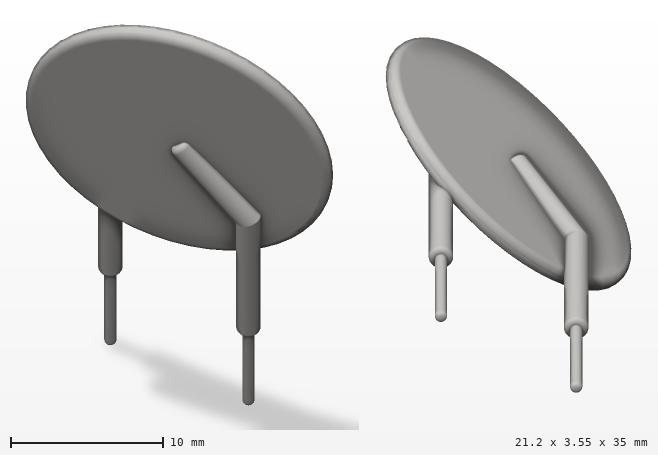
import cadquery as cq

disc_diameter = 21.2
disc_thickness = 1.2
disc_edge_radius = 0.52

overall_height = 35.0
overall_depth = 3.55
sleeve_diameter = 1.6
wire_diameter = 0.8
lead_offset_x = 5.1
lead_offset_y = (overall_depth - sleeve_diameter) / 2
sleeve_top_x = 0.1
sleeve_top_y = 0.4
bend_z = -5.25
sleeve_bottom_z = -16.8
wire_bottom_z = disc_diameter / 2 - overall_height
sleeve_end_radius = 0.35
wire_tip_radius = 0.3


def make_disc():
    """Flat disc with rounded rims."""
    disc = cq.Workplane("XZ").circle(disc_diameter / 2).extrude(disc_thickness / 2, both=True)
    return disc.edges("%CIRCLE").fillet(disc_edge_radius)


def make_sleeve():
    """Vertical sleeve with a mitred bend, then a sloping run to near the disc centre."""
    lower_end = cq.Vector(lead_offset_x, -lead_offset_y, sleeve_bottom_z)
    bend = cq.Vector(lead_offset_x, -lead_offset_y, bend_z)
    upper_end = cq.Vector(sleeve_top_x, -sleeve_top_y, 0)
    path = cq.Workplane("XY").polyline([lower_end, bend, upper_end])
    profile = cq.Workplane("XY", origin=lower_end.toTuple()).circle(sleeve_diameter / 2)
    sleeve = profile.sweep(path, transition="right")
    sleeve = sleeve.faces("<Z").edges().fillet(sleeve_end_radius)
    upper_rim = sleeve.faces(cq.selectors.NearestToPointSelector(upper_end.toTuple())).edges()
    return upper_rim.fillet(sleeve_end_radius)


def make_wire():
    """Straight bare wire with a rounded tip."""
    wire = (
        cq.Workplane("XY", origin=(lead_offset_x, -lead_offset_y, wire_bottom_z))
        .circle(wire_diameter / 2)
        .extrude(bend_z - wire_bottom_z)
    )
    return wire.faces("<Z").edges().fillet(wire_tip_radius)


front_lead = make_sleeve().union(make_wire())
rear_lead = front_lead.rotate((0, 0, 0), (0, 0, 1), 180)

result = make_disc().union(front_lead).union(rear_lead)